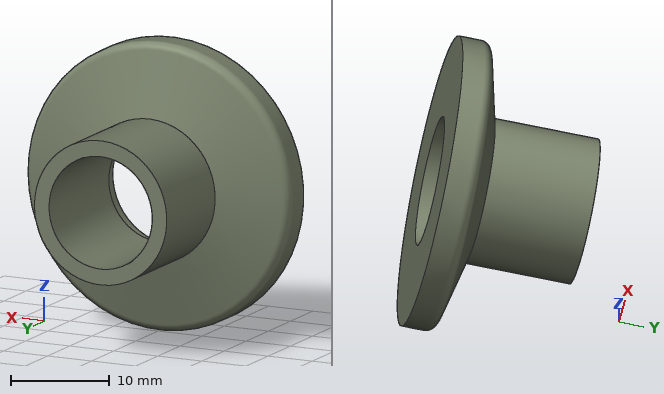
import cadquery as cq
import math

flange_diameter = 30.0
tube_diameter = 15.0
bore_diameter = 11.7
counterbore_diameter = 13.3
counterbore_depth = 2.5
total_length = 16.0
cone_end = 5.07
cone_angle = 15.0
rim_round = 1.0

flange_radius = flange_diameter / 2
tube_radius = tube_diameter / 2
rim_height = cone_end - (flange_radius - tube_radius) * math.tan(math.radians(cone_angle))

round_sweep = 90 - cone_angle
round_center_radius = flange_radius - rim_round
round_start = rim_height - rim_round * math.tan(math.radians(round_sweep / 2))


def rim_round_point(angle):
    """Point on the rim round, with the angle in degrees from the radial direction."""
    turn = math.radians(angle)
    return (
        round_center_radius + rim_round * math.cos(turn),
        round_start + rim_round * math.sin(turn),
    )


body = (
    cq.Workplane("XY")
    .moveTo(0, 0)
    .lineTo(flange_radius, 0)
    .lineTo(flange_radius, round_start)
    .threePointArc(rim_round_point(round_sweep / 2), rim_round_point(round_sweep))
    .lineTo(tube_radius, cone_end)
    .lineTo(tube_radius, total_length)
    .lineTo(0, total_length)
    .close()
    .revolve(360, (0, 0, 0), (0, 1, 0))
)


def hole_cutter(diameter, depth):
    """Cylinder along +Y starting at the sealing face."""
    return cq.Workplane("XZ").circle(diameter / 2).extrude(-depth)


bore = hole_cutter(bore_diameter, total_length)
counterbore = hole_cutter(counterbore_diameter, counterbore_depth)

result = body.cut(bore).cut(counterbore)